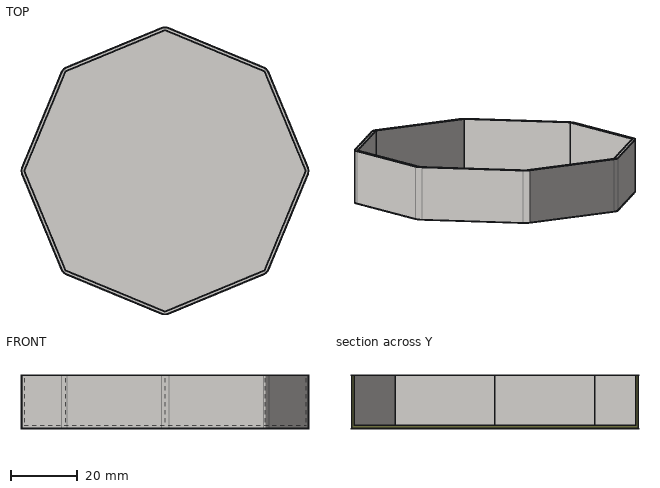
import cadquery as cq
import math

SIDES = 8
ACROSS_FLATS = 80.0
HEIGHT = 16.0
WALL = 1.0
FLOOR = 1.0
CORNER_RADIUS = 3.0


def octagon_prism(across_flats, height, base_z):
    """Upright octagonal prism with a corner pointing along +X."""
    across_corners = across_flats / math.cos(math.pi / SIDES)
    return cq.Workplane("XY").workplane(offset=base_z).polygon(SIDES, across_corners).extrude(height)


body = octagon_prism(ACROSS_FLATS, HEIGHT, 0).edges("|Z").fillet(CORNER_RADIUS)

cavity = octagon_prism(ACROSS_FLATS - 2 * WALL, HEIGHT - FLOOR, FLOOR)

result = body.cut(cavity)